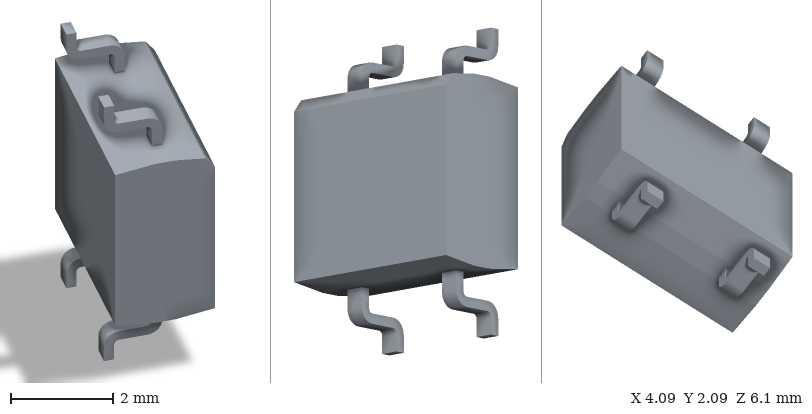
import cadquery as cq

total_height = 6.1
total_depth = 2.09
body_width = 4.09

body_depth = 2.04
body_height = 3.82
face_height = 3.62
band_depth = 0.435
chamfer_depth = 0.195
chamfer_drop = 0.225

lead_width = 0.385
lead_thickness = 0.21
lead_spacing = 2.545
lead_offset = 1.19
inner_bend_radius = 0.1
foot_length = 0.45

tip_z = total_height / 2
front_y = -total_depth / 2
back_y = front_y + total_depth
body_front_y = back_y - body_depth
body_mid_y = (body_front_y + back_y) / 2
band_front_y = body_mid_y - band_depth / 2
band_back_y = body_mid_y + band_depth / 2
band_z = body_height / 2
face_z = face_height / 2


def make_body():
    taper_slope = (band_z - face_z) / (back_y - band_back_y)
    chamfer_top_z = face_z + taper_slope * chamfer_depth
    outline = [
        (body_front_y, -face_z),
        (band_front_y, -band_z),
        (band_back_y, -band_z),
        (back_y, -face_z),
        (back_y, face_z - chamfer_drop),
        (back_y - chamfer_depth, chamfer_top_z),
        (band_back_y, band_z),
        (band_front_y, band_z),
        (body_front_y, face_z),
    ]
    return cq.Workplane("YZ").polyline(outline).close().extrude(body_width / 2, both=True)


def make_upper_lead(x):
    """Sweep the lead section along its centreline, from the body up to the tip."""
    bend = inner_bend_radius + lead_thickness / 2
    foot_y = front_y + lead_thickness / 2
    root_y = front_y + lead_offset - lead_thickness / 2
    bar_z = tip_z - foot_length - lead_thickness / 2
    path = (
        cq.Workplane("YZ", origin=(x, 0, 0))
        .moveTo(root_y, band_z)
        .lineTo(root_y, bar_z - bend)
        .tangentArcPoint((root_y - bend, bar_z), relative=False)
        .lineTo(foot_y + bend, bar_z)
        .tangentArcPoint((foot_y, bar_z + bend), relative=False)
        .lineTo(foot_y, tip_z)
    )
    section = cq.Workplane("XY", origin=(x, root_y, band_z)).rect(lead_width, lead_thickness)
    return section.sweep(path)


result = make_body()
for side in (-1, 1):
    upper_lead = make_upper_lead(side * lead_spacing / 2)
    lower_lead = upper_lead.mirror("XY")
    result = result.union(upper_lead).union(lower_lead)